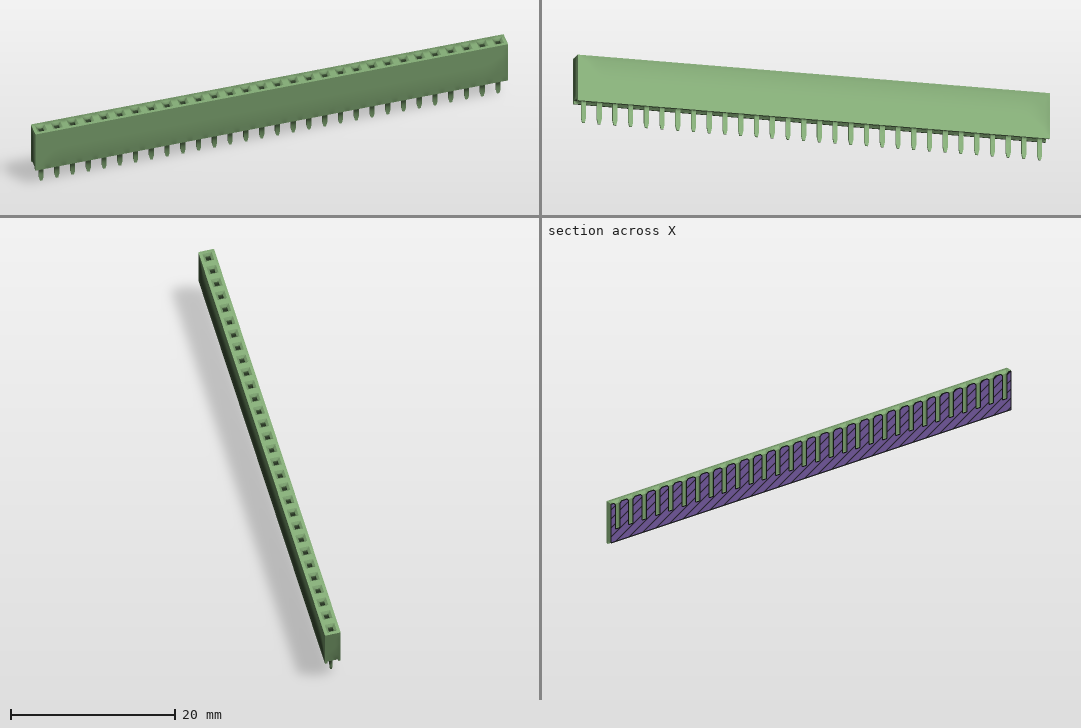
import cadquery as cq

pin_count = 30
body_length = 60.0
body_width = 2.0
total_height = 8.3
tail_length = 2.5

rail_width = 0.3
rail_height = 0.35

contact_hole_size = 0.6
funnel_depth = 0.3
contact_hole_depth = 3.6

post_width = 0.5
post_thickness = 0.25
post_height = 1.2

pin_width = 0.6
pin_thickness = 0.25
tip_width = 0.3
tip_height = 0.6

funnel_size = contact_hole_size + 2 * funnel_depth
pitch = body_length / pin_count
body_height = total_height - tail_length
pin_places_y = [(index - (pin_count - 1) / 2) * pitch for index in range(pin_count)]


def make_body():
    """Long block with its underside at Z = 0 and a channel between the two rails."""
    block = cq.Workplane("XY").box(body_width, body_length, body_height, centered=(True, True, False))
    channel_width = body_width - 2 * rail_width
    channel = cq.Workplane("XY").box(channel_width, body_length, rail_height, centered=(True, True, False))
    return block.cut(channel)


def make_socket():
    """Cutter for one socket: the tapered mouth and the straight hole below it."""
    funnel = (
        cq.Workplane("XY", origin=(0, 0, body_height))
        .rect(funnel_size, funnel_size)
        .workplane(offset=-funnel_depth)
        .rect(contact_hole_size, contact_hole_size)
        .loft(ruled=True)
    )
    hole = (
        cq.Workplane("XY", origin=(0, 0, body_height - contact_hole_depth))
        .rect(contact_hole_size, contact_hole_size)
        .extrude(contact_hole_depth - funnel_depth)
    )
    return funnel.union(hole)


def make_pin():
    """Flat pin hanging from the channel roof, tapered at its lower end."""
    shoulder_z = tip_height - tail_length
    return (
        cq.Workplane("YZ")
        .moveTo(-pin_width / 2, rail_height)
        .lineTo(-pin_width / 2, shoulder_z)
        .lineTo(-tip_width / 2, -tail_length)
        .lineTo(tip_width / 2, -tail_length)
        .lineTo(pin_width / 2, shoulder_z)
        .lineTo(pin_width / 2, rail_height)
        .close()
        .extrude(pin_thickness / 2, both=True)
    )


def make_contact_post():
    """Upper end of the pin, standing free inside the contact hole."""
    return (
        cq.Workplane("XY", origin=(0, 0, body_height - contact_hole_depth))
        .rect(post_thickness, post_width)
        .extrude(post_height)
    )


def at_every_pin(feature):
    """One copy of the feature at each pin place, as a compound."""
    copies = [feature.val().translate(cq.Vector(0, y, 0)) for y in pin_places_y]
    return cq.Workplane(cq.Compound.makeCompound(copies))


result = (
    make_body()
    .cut(at_every_pin(make_socket()))
    .union(at_every_pin(make_contact_post()))
    .union(at_every_pin(make_pin()))
)